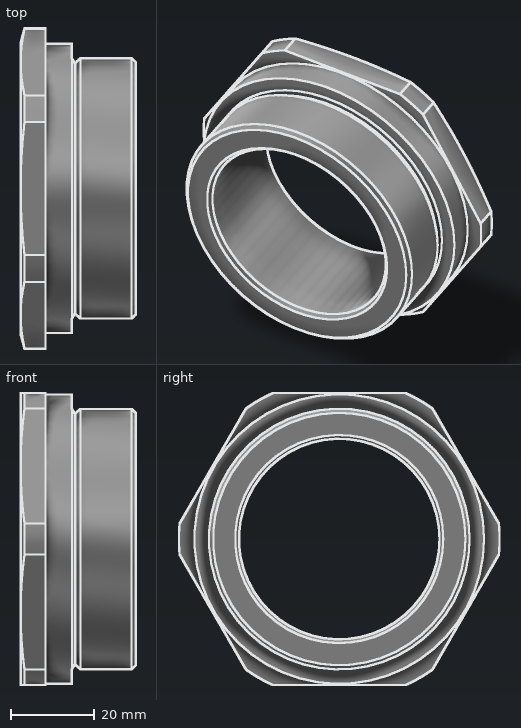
import cadquery as cq
import math

total_length = 27.6
hex_thickness = 6.0
flange_thickness = 6.3

across_flats = 70.0
corner_diameter = 76.95
head_chamfer_angle = 15.0

flange_diameter = 69.4
spigot_diameter = 62.5
spigot_end_chamfer = 1.0

groove_depth = 1.1
groove_floor_width = 0.2
groove_flange_side_width = 0.6
groove_spigot_side_width = 1.15

bore_diameter = 48.0
bore_chamfer = 0.9


def revolve_about_x(points):
    """Revolve a closed outline of (x, radius) points about the X axis."""
    return cq.Workplane("XY").polyline(points).close().revolve(360, (0, 0, 0), (1, 0, 0))


def hex_head():
    """Hexagon with flats facing +Z and -Z, rounded corners and a conical face chamfer."""
    across_corners = across_flats / math.cos(math.pi / 6)
    prism = cq.Workplane("YZ").polygon(6, across_corners).extrude(hex_thickness)
    face_radius = across_flats / 2
    corner_radius = corner_diameter / 2
    chamfer_length = (corner_radius - face_radius) * math.tan(math.radians(head_chamfer_angle))
    envelope = revolve_about_x([
        (0, 0),
        (0, face_radius),
        (chamfer_length, corner_radius),
        (hex_thickness, corner_radius),
        (hex_thickness, 0),
    ])
    return prism.intersect(envelope)


def turned_body():
    """Flange, relief groove and spigot behind the head."""
    flange_end = hex_thickness + flange_thickness
    flange_radius = flange_diameter / 2
    spigot_radius = spigot_diameter / 2
    groove_radius = spigot_radius - groove_depth
    floor_start = flange_end + groove_flange_side_width
    floor_end = floor_start + groove_floor_width
    return revolve_about_x([
        (hex_thickness, 0),
        (hex_thickness, flange_radius),
        (flange_end, flange_radius),
        (flange_end, spigot_radius),
        (floor_start, groove_radius),
        (floor_end, groove_radius),
        (floor_end + groove_spigot_side_width, spigot_radius),
        (total_length - spigot_end_chamfer, spigot_radius),
        (total_length, spigot_radius - spigot_end_chamfer),
        (total_length, 0),
    ])


def bore():
    """Through bore, chamfered at both ends."""
    bore_radius = bore_diameter / 2
    return revolve_about_x([
        (0, 0),
        (0, bore_radius + bore_chamfer),
        (bore_chamfer, bore_radius),
        (total_length - bore_chamfer, bore_radius),
        (total_length, bore_radius + bore_chamfer),
        (total_length, 0),
    ])


result = hex_head().union(turned_body()).cut(bore())